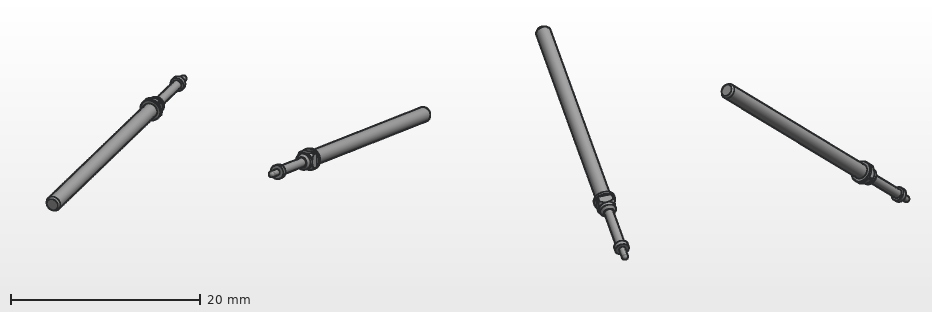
import cadquery as cq

LENGTH = 34.5
TIP_Y = LENGTH / 2

COLLAR_START = 1.5
COLLAR_END = 2.0
SHOULDER_START = 7.0
SHOULDER_END = 7.3
SQUARE_START = 7.73
FLANGE_START = 8.7
FLANGE_END = 9.0

TIP_DIAMETER = 0.7
COLLAR_DIAMETER = 1.52
NECK_DIAMETER = 1.0
SHOULDER_SMALL_DIAMETER = 1.17
SHOULDER_DIAMETER = 1.75
FLANGE_DIAMETER = 2.3
BODY_DIAMETER = 1.62

SQUARE_WIDTH = SHOULDER_DIAMETER
SQUARE_CORNER_DIAMETER = FLANGE_DIAMETER

TAIL_CHAMFER_LENGTH = 0.28
TAIL_CHAMFER_DEPTH = 0.17


def turned(start, end, start_diameter, end_diameter=None):
    """Round or tapered section between two distances from the tip."""
    if end_diameter is None:
        end_diameter = start_diameter
    outline = [
        (0, TIP_Y - start),
        (start_diameter / 2, TIP_Y - start),
        (end_diameter / 2, TIP_Y - end),
        (0, TIP_Y - end),
    ]
    return cq.Workplane("XY").polyline(outline).close().revolve(360, (0, 0), (0, 1))


def plunger():
    """Round-nosed tip, collar and slim neck."""
    tip_radius = TIP_DIAMETER / 2
    nose = cq.Workplane("XY").sphere(tip_radius).translate((0, TIP_Y - tip_radius, 0))
    tip = turned(tip_radius, COLLAR_START, TIP_DIAMETER)
    collar = turned(COLLAR_START, COLLAR_END, COLLAR_DIAMETER)
    neck = turned(COLLAR_END, SHOULDER_START, NECK_DIAMETER)
    return nose.union(tip).union(collar).union(neck)


def shoulder():
    """Tapered lead-in followed by a short cylinder."""
    taper = turned(SHOULDER_START, SHOULDER_END, SHOULDER_SMALL_DIAMETER, SHOULDER_DIAMETER)
    return taper.union(turned(SHOULDER_END, SQUARE_START, SHOULDER_DIAMETER))


def square_drive():
    """Square section with rounded corners that are chamfered at 45 degrees on the tip side."""
    chamfer_length = (SQUARE_CORNER_DIAMETER - SQUARE_WIDTH) / 2
    chamfer_end = SQUARE_START + chamfer_length
    blank = turned(SQUARE_START, chamfer_end, SQUARE_WIDTH, SQUARE_CORNER_DIAMETER)
    blank = blank.union(turned(chamfer_end, FLANGE_START, SQUARE_CORNER_DIAMETER))
    square_length = FLANGE_START - SQUARE_START
    square_middle = TIP_Y - (SQUARE_START + FLANGE_START) / 2
    square = cq.Workplane("XY").box(SQUARE_WIDTH, square_length, SQUARE_WIDTH)
    return blank.intersect(square.translate((0, square_middle, 0)))


def barrel():
    """Stop flange and long sleeve with a chamfered rear end."""
    flange = turned(FLANGE_START, FLANGE_END, FLANGE_DIAMETER)
    chamfer_start = LENGTH - TAIL_CHAMFER_LENGTH
    sleeve = turned(FLANGE_END, chamfer_start, BODY_DIAMETER)
    tail_end_diameter = BODY_DIAMETER - 2 * TAIL_CHAMFER_DEPTH
    chamfer = turned(chamfer_start, LENGTH, BODY_DIAMETER, tail_end_diameter)
    return flange.union(sleeve).union(chamfer)


result = plunger().union(shoulder()).union(square_drive()).union(barrel())